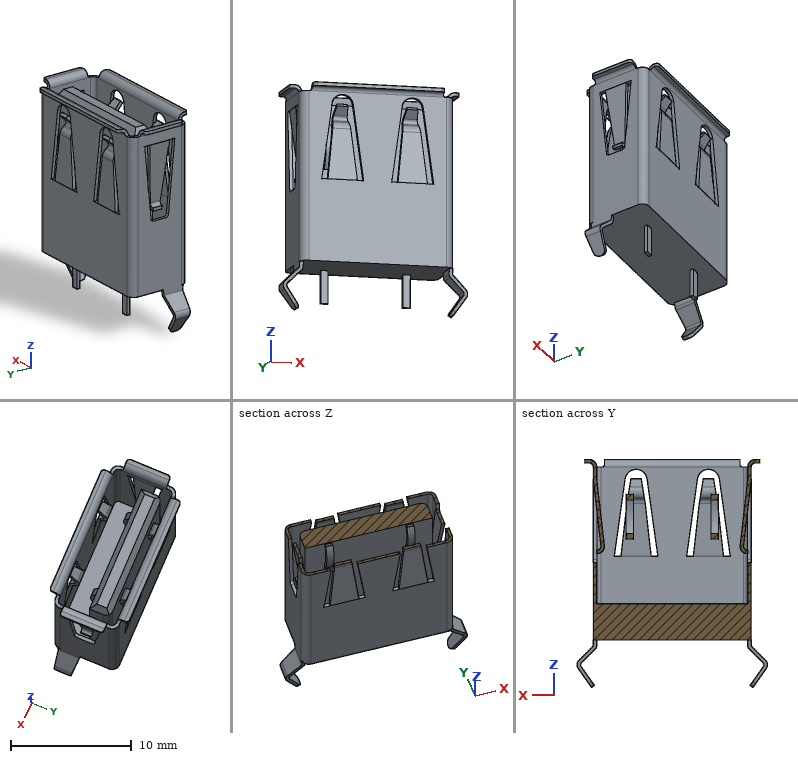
import cadquery as cq
import math


SHEET = 0.3
SHELL_X = 13.12
SHELL_Y = 5.77
SHELL_Z = 14.37
CORNER_RADIUS = 0.66
WALL_X = SHELL_X / 2
WALL_Y = SHELL_Y / 2
JOIN = 0.28

FLANGE_BEND = 0.32
FLANGE_TOP = SHELL_Z + FLANGE_BEND + SHEET
FLANGE_REACH_X = 7.27
FLANGE_REACH_Y = 3.55
FLANGE_LENGTH_X = 3.9
FLANGE_LENGTH_Y = 11.25
FLANGE_CORNER = 0.28
FLANGE_ROOT = 0.23

ARCH_SPACING = 6.0
ARCH_BASE_Z = 6.97
ARCH_TOP_Z = 14.16
ARCH_BASE_WIDTH = 3.6
ARCH_RADIUS = 0.9
FINGER_SHOULDER_X = 2.4
FINGER_SHOULDER_Z = 11.62
FINGER_SHOULDER_BEND = 0.7
FINGER_KNEE_X = 1.67
FINGER_KNEE_Z = 12.25
FINGER_KNEE_BEND = 0.47
FINGER_TIP_RUN = 1.05
FINGER_BASE_WIDTH = 2.52
FINGER_MIDDLE_WIDTH = 1.53
FINGER_MIDDLE_Z = 11.35
FINGER_TIP_WIDTH = 0.85
FINGER_TIP_Z = 13.44
BACK_FINGER_SHIFT = 0.19

SLOT_TOP_Z = 13.35
SLOT_BOTTOM_Z = 6.44
SLOT_TOP_WIDTH = 3.09
SLOT_BOTTOM_WIDTH = 1.75
SLOT_CORNER = 0.27
LATCH_KNEE_X = 5.72
LATCH_KNEE_Z = 7.33
LATCH_TIP_X = 6.27
LATCH_BEND = 0.45
LATCH_TOP_WIDTH = 2.05
LATCH_MIDDLE_WIDTH = 1.02
LATCH_MIDDLE_Z = 7.85
LATCH_TIP_WIDTH = 0.87
LATCH_LOW_Z = 7.1

HINGE_BEND = 0.38

CLIP_Y = -1.4
CLIP_TOP_WIDTH = 2.05
CLIP_TIP_WIDTH = 0.98
CLIP_TIP_ROUND = 0.47
CLIP_SHOULDER_Z = -0.55
CLIP_RUN = 1.45
CLIP_TIP_X = 6.57
CLIP_TIP_Z = -3.85
CLIP_LOW_Z = -3.98
CLIP_SHOULDER_BEND = 0.19
CLIP_ELBOW_BEND = 0.38

FLOOR_Z = 3.03
TONGUE_WIDTH = 11.11
TONGUE_FRONT_Y = 0.02
TONGUE_BACK_Y = 1.87
TONGUE_TOP_Z = 14.55
TONGUE_BEVEL_HEIGHT = 0.75
TONGUE_BEVEL_RUN = 0.47
TONGUE_CORNER = 0.57

CONTACT_X = 3.52
CONTACT_WIDTH = 0.62
CONTACT_TOP_Z = 12.13
CONTACT_BOTTOM_Z = 8.33
CONTACT_BULGE = 0.62
PIN_Y = 1.25
PIN_WIDTH = 0.62
PIN_TIP_Z = -2.78


def strip_profile(path, bends, thickness):
    """Closed XZ profile of a sheet that follows a centre path, with a bend radius at each inner point."""
    def direction(start, end):
        length = math.dist(start, end)
        return ((end[0] - start[0]) / length, (end[1] - start[1]) / length)

    def offset(point, along, distance):
        return (point[0] - along[1] * distance, point[1] + along[0] * distance)

    def side(distance):
        """Start point, then (arc start, arc middle, arc end) of each bend, then the end point."""
        arcs = []
        for before, corner, after, radius in zip(path, path[1:], path[2:], bends):
            entry = direction(before, corner)
            leaving = direction(corner, after)
            turn = math.atan2(
                entry[0] * leaving[1] - entry[1] * leaving[0],
                entry[0] * leaving[0] + entry[1] * leaving[1],
            )
            tangent = radius * math.tan(abs(turn) / 2)
            arc_start = (corner[0] - entry[0] * tangent, corner[1] - entry[1] * tangent)
            arc_end = (corner[0] + leaving[0] * tangent, corner[1] + leaving[1] * tangent)
            centre = offset(arc_start, entry, math.copysign(radius, turn))
            middle_angle = math.atan2(entry[1], entry[0]) + turn / 2
            middle_along = (math.cos(middle_angle), math.sin(middle_angle))
            arc_middle = offset(centre, middle_along, -math.copysign(radius, turn))
            arcs.append((
                offset(arc_start, entry, distance),
                offset(arc_middle, middle_along, distance),
                offset(arc_end, leaving, distance),
            ))
        first = offset(path[0], direction(path[0], path[1]), distance)
        last = offset(path[-1], direction(path[-2], path[-1]), distance)
        return first, arcs, last

    left_first, left_arcs, left_last = side(thickness / 2)
    right_first, right_arcs, right_last = side(-thickness / 2)
    profile = cq.Workplane("XZ").moveTo(*left_first)
    for arc_start, arc_middle, arc_end in left_arcs:
        profile = profile.lineTo(*arc_start).threePointArc(arc_middle, arc_end)
    profile = profile.lineTo(*left_last).lineTo(*right_last)
    for arc_start, arc_middle, arc_end in reversed(right_arcs):
        profile = profile.lineTo(*arc_end).threePointArc(arc_middle, arc_start)
    return profile.lineTo(*right_first).close()


def formed_sheet(path, bends, outline):
    """Bent sheet on the +X side, trimmed to a YZ outline."""
    band = strip_profile(path, bends, SHEET).extrude(SHELL_X / 2, both=True)
    return band.intersect(outline.extrude(SHELL_X))


def tapered_outline(stations):
    """Symmetric YZ outline through (width, z) stations."""
    right = [(width / 2, z) for width, z in stations]
    left = [(-y, z) for y, z in reversed(right)]
    return cq.Workplane("YZ").polyline(right + left).close()


def on_both_ends(body):
    """The feature on the +X side and its mirror image on the -X side."""
    return body.union(body.mirror("YZ"))


def on_front(body):
    return body.rotate((0, 0, 0), (0, 0, 1), -90)


def on_back(body):
    return body.rotate((0, 0, 0), (0, 0, 1), 90)


def pair_along_wall(body):
    """Two copies spaced along a wall that faces +X."""
    return body.translate((0, ARCH_SPACING / 2, 0)).union(body.translate((0, -ARCH_SPACING / 2, 0)))


def shell_tube():
    outer = cq.Workplane("XY").rect(SHELL_X, SHELL_Y).extrude(SHELL_Z).edges("|Z").fillet(CORNER_RADIUS)
    inner = cq.Workplane("XY").rect(SHELL_X - 2 * SHEET, SHELL_Y - 2 * SHEET).extrude(SHELL_Z)
    return outer.cut(inner.edges("|Z").fillet(CORNER_RADIUS - SHEET))


def flange(wall, reach, length):
    middle_x = wall - SHEET / 2
    middle_z = FLANGE_TOP - SHEET / 2
    half = length / 2
    root = half + FLANGE_ROOT
    root_z = SHELL_Z + FLANGE_ROOT
    sag = FLANGE_ROOT * (1 - math.sqrt(0.5))
    outline = (
        cq.Workplane("YZ")
        .moveTo(-root, SHELL_Z - JOIN)
        .lineTo(root, SHELL_Z - JOIN)
        .lineTo(root, SHELL_Z)
        .threePointArc((half + sag, SHELL_Z + sag), (half, root_z))
        .lineTo(half, FLANGE_TOP)
        .lineTo(-half, FLANGE_TOP)
        .lineTo(-half, root_z)
        .threePointArc((-half - sag, SHELL_Z + sag), (-root, SHELL_Z))
        .close()
    )
    path = [(middle_x, SHELL_Z - JOIN / 2), (middle_x, middle_z), (reach, middle_z)]
    sheet = formed_sheet(path, [FLANGE_BEND + SHEET / 2], outline)
    return sheet.faces(">X").edges("|Z").fillet(FLANGE_CORNER)


def arched_window():
    """Tapered opening whose straight sides run tangent into a round top."""
    half = ARCH_BASE_WIDTH / 2
    centre_z = ARCH_TOP_Z - ARCH_RADIUS
    rise = centre_z - ARCH_BASE_Z
    tangent_angle = math.acos(ARCH_RADIUS / math.hypot(half, rise)) - math.atan2(rise, half)
    tangent_y = ARCH_RADIUS * math.cos(tangent_angle)
    tangent_z = centre_z + ARCH_RADIUS * math.sin(tangent_angle)
    return (
        cq.Workplane("YZ")
        .moveTo(-half, ARCH_BASE_Z)
        .lineTo(half, ARCH_BASE_Z)
        .lineTo(tangent_y, tangent_z)
        .threePointArc((0, ARCH_TOP_Z), (-tangent_y, tangent_z))
        .close()
        .extrude(SHELL_X)
    )


def finger(shift):
    """Spring finger rising from the foot of an arched window."""
    middle_x = WALL_Y - SHEET / 2
    knee_x = FINGER_KNEE_X + shift
    path = [
        (middle_x, ARCH_BASE_Z - JOIN),
        (middle_x, ARCH_BASE_Z),
        (FINGER_SHOULDER_X + shift, FINGER_SHOULDER_Z),
        (knee_x, FINGER_KNEE_Z),
        (knee_x + FINGER_TIP_RUN, FINGER_KNEE_Z + FINGER_TIP_RUN),
    ]
    outline = tapered_outline([
        (FINGER_BASE_WIDTH, ARCH_BASE_Z - JOIN),
        (FINGER_BASE_WIDTH, ARCH_BASE_Z),
        (FINGER_MIDDLE_WIDTH, FINGER_MIDDLE_Z),
        (FINGER_TIP_WIDTH, FINGER_TIP_Z),
    ])
    return formed_sheet(path, [HINGE_BEND, FINGER_SHOULDER_BEND, FINGER_KNEE_BEND], outline)


def slot_window():
    outline = tapered_outline([(SLOT_TOP_WIDTH, SLOT_TOP_Z), (SLOT_BOTTOM_WIDTH, SLOT_BOTTOM_Z)])
    return outline.extrude(SHELL_X).faces("<Z").edges("|X").fillet(SLOT_CORNER)


def latch():
    """Spring finger hanging from the top of a tapered window."""
    middle_x = WALL_X - SHEET / 2
    path = [
        (middle_x, SLOT_TOP_Z + JOIN),
        (middle_x, SLOT_TOP_Z),
        (LATCH_KNEE_X, LATCH_KNEE_Z),
        (LATCH_TIP_X, LATCH_KNEE_Z),
    ]
    outline = tapered_outline([
        (LATCH_TOP_WIDTH, SLOT_TOP_Z + JOIN),
        (LATCH_TOP_WIDTH, SLOT_TOP_Z),
        (LATCH_MIDDLE_WIDTH, LATCH_MIDDLE_Z),
        (LATCH_TIP_WIDTH, LATCH_LOW_Z),
    ])
    return formed_sheet(path, [HINGE_BEND, LATCH_BEND], outline)


def clip():
    """Snap-in leg that goes out below the wall and back in to a rounded tip."""
    middle_x = WALL_X - SHEET / 2
    path = [
        (middle_x, 0),
        (middle_x, CLIP_SHOULDER_Z),
        (middle_x + CLIP_RUN, CLIP_SHOULDER_Z - CLIP_RUN),
        (CLIP_TIP_X, CLIP_TIP_Z),
    ]
    outline = tapered_outline([
        (CLIP_TOP_WIDTH, 0),
        (CLIP_TIP_WIDTH, CLIP_LOW_Z),
    ])
    leg = formed_sheet(path, [CLIP_SHOULDER_BEND, CLIP_ELBOW_BEND], outline)
    leg = leg.faces("<Z").edges("not(|Y)").fillet(CLIP_TIP_ROUND)
    return leg.translate((0, CLIP_Y, 0))


def insulator():
    """Block that fills the lower shell, with a bevelled tongue on it."""
    floor = cq.Workplane("XY").rect(SHELL_X - SHEET, SHELL_Y - SHEET).extrude(FLOOR_Z)
    floor = floor.edges("|Z").fillet(CORNER_RADIUS - SHEET / 2)
    depth = TONGUE_BACK_Y - TONGUE_FRONT_Y
    bevel_angle = math.degrees(math.atan2(TONGUE_BEVEL_RUN, TONGUE_BEVEL_HEIGHT))
    block = (
        cq.Workplane("XY")
        .center(0, (TONGUE_FRONT_Y + TONGUE_BACK_Y) / 2)
        .rect(TONGUE_WIDTH, depth)
        .extrude(TONGUE_TOP_Z - TONGUE_BEVEL_HEIGHT)
    )
    bevelled = block.faces(">Z").wires().toPending().extrude(TONGUE_BEVEL_HEIGHT, taper=bevel_angle)
    envelope = block.faces(">Z").wires().toPending().extrude(TONGUE_BEVEL_HEIGHT)
    tongue = bevelled.intersect(envelope.edges("|Z and >Y").fillet(TONGUE_CORNER))
    return floor.union(tongue)


def contact():
    """Bowed strip on the front of the tongue and the pin below it."""
    root_y = TONGUE_FRONT_Y + SHEET
    crest_y = TONGUE_FRONT_Y - CONTACT_BULGE
    middle_z = (CONTACT_TOP_Z + CONTACT_BOTTOM_Z) / 2
    bow = (
        cq.Workplane("YZ")
        .moveTo(root_y, CONTACT_TOP_Z)
        .lineTo(TONGUE_FRONT_Y, CONTACT_TOP_Z)
        .threePointArc((crest_y, middle_z), (TONGUE_FRONT_Y, CONTACT_BOTTOM_Z))
        .lineTo(root_y, CONTACT_BOTTOM_Z)
        .threePointArc((crest_y + SHEET, middle_z), (root_y, CONTACT_TOP_Z))
        .close()
        .extrude(CONTACT_WIDTH / 2, both=True)
    )
    pin = cq.Workplane("XY").workplane(offset=PIN_TIP_Z).center(0, PIN_Y).rect(PIN_WIDTH, SHEET)
    return bow.union(pin.extrude(FLOOR_Z / 2 - PIN_TIP_Z)).translate((CONTACT_X, 0, 0))


result = shell_tube()

arches = pair_along_wall(arched_window())
result = result.cut(on_front(arches)).cut(on_back(arches))
result = result.cut(on_both_ends(slot_window()))

rim = flange(WALL_Y, FLANGE_REACH_Y, FLANGE_LENGTH_Y)
result = result.union(on_front(rim)).union(on_back(rim))
result = result.union(on_both_ends(flange(WALL_X, FLANGE_REACH_X, FLANGE_LENGTH_X)))

result = result.union(on_front(pair_along_wall(finger(0))))
result = result.union(on_back(pair_along_wall(finger(BACK_FINGER_SHIFT))))
result = result.union(on_both_ends(latch()))
result = result.union(on_both_ends(clip()))

result = result.union(insulator())
result = result.union(on_both_ends(contact()))